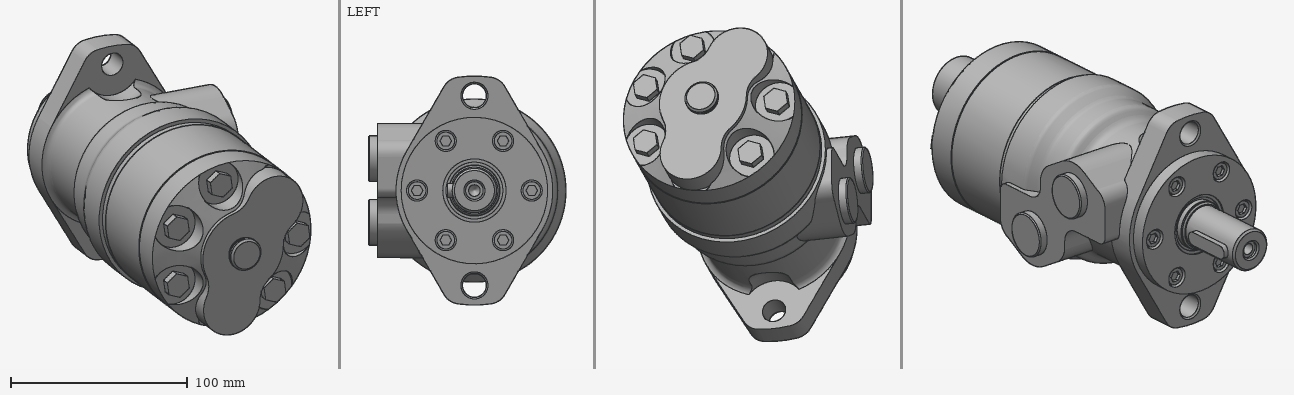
import cadquery as cq
import math


COLLAR_X = 43.0
BOSS_X = 46.3
FLANGE_X = 54.4
FLANGE_BACK_X = 71.0
NECK_X = 75.8
SHOULDER_X = 106.8
RISE_X = 129.5
STEP_X = 159.7
GEAR_X = 163.8
JOINT_X = 207.0
COVER_X = 224.3
CONE_END_X = 236.2
REAR_X = 239.0
END_X = 243.8

BOSS_R = 41.5
FLANGE_R = 44.4
NECK_R = 40.7
GEAR_R = 50.0
PLATE_R = 49.7
HUB_R = 25.4

FIRST_ANGLE = math.radians(45)
FIRST_RUNS = (5.9, 2.2, 4.5)
SECOND_ANGLE = math.radians(30)
SECOND_RUNS = (3.7, 5.0, 3.0)

JOINT_WIDTH = 0.7
JOINT_DEPTH = 0.37

FLANGE_TIP_R = 64.9
FLANGE_CORNER_R = 11.0
FLANGE_SIDE_ANGLE = math.radians(30)
MOUNT_HOLE_Z = 53.6
MOUNT_HOLE_D = 13.5
MOUNT_CHAMFER = 1.0
SCOOP_R = 18.8
SCOOP_X = 80.5

HEX_SIDES = 6

FRONT_SCREWS = 6
FRONT_CIRCLE_R = 32.5
RECESS_D = 12.0
RECESS_DEPTH = 3.7
SCREW_HEAD_D = 10.0
SCREW_HEAD_H = 2.5
SOCKET_SIZE = 6.5
SOCKET_DEPTH = 2.0

SEAL_RECESS_D = 35.8
SEAL_LIP_D = 32.2
SEAL_STEP = 1.0

PORT_X = 92.2
PORT_Z = 18.0
BLOCK_MID_X = 110.2
BLOCK_Y = 54.9
BLOCK_ROOT_Y = 12.2
LOBE_R = 20.0
LOBE_SLOPE = math.radians(30)
LOBE_SHOULDER = 21.7
LOBE_HALF = 28.8
LOBE_SIDE_Z = 18.8
WAIST_Z = 4.0
WAIST_FILLET = 9.5
WAIST_CORNER = 4.9

PORT_PLUG_D = 26.0
PORT_PLUG_END_Y = 60.0
PLUG_CHAMFER = 0.7

REAR_SCREWS = 7
REAR_CIRCLE_R = 40.0
HEX_FLATS = 13.0
HEX_HEIGHT = 4.9
HEX_TURN = 38
POCKET_R = 13.0
ARM_R = 17.8
ARM_REACH = 32.0
ARM_FILLET = 14.6
ARM_SCREWS = (1, 5)

DRAIN_D = 19.0
DRAIN_NECK_D = 18.0
DRAIN_NECK_H = 1.5
DRAIN_CHAMFER = 1.2

SHAFT_D = 25.0
SHAFT_COLLAR_D = 28.5
SEAT_X = 44.9
SHAFT_SEAT_D = 29.0
SHAFT_CHAMFER = 1.2
COLLAR_CHAMFER = 1.0
CENTRE_BORE_D = 10.0
CENTRE_CHAMFER = 1.0
CENTRE_BORE_DEPTH = 2.5
CENTRE_HOLE_D = 6.5
CENTRE_HOLE_DEPTH = 19.5
KEY_X = 5.0
KEY_LENGTH = 32.0
KEY_WIDTH = 8.0
KEY_BOTTOM_Y = 8.5
KEY_TOP_Y = 15.4


def section(x):
    """Workplane across the shaft axis: local axes Y and Z, facing +X."""
    return cq.Workplane("YZ", origin=(x, 0, 0))


def disc(x_start, x_end, diameter, y=0, z=0):
    return section(x_start).center(y, z).circle(diameter / 2).extrude(x_end - x_start)


def ring_of_places(count, radius):
    """Y, Z places spaced evenly on a circle about the axis, from +Y."""
    angles = [math.radians(360 * i / count) for i in range(count)]
    return [(radius * math.cos(a), radius * math.sin(a)) for a in angles]


def rise_points(x, radius, angle, runs):
    """Four points of an arc, cone, arc rise whose cone has the given slope angle."""
    slopes = (math.tan(angle / 2), math.tan(angle), math.tan(angle / 2))
    points = [(x, radius)]
    for run, slope in zip(runs, slopes):
        x += run
        radius += run * slope
        points.append((x, radius))
    return points


def turned_body():
    """Revolved housing, from the pilot boss to the cone of the rear cover."""
    first = rise_points(SHOULDER_X, NECK_R, FIRST_ANGLE, FIRST_RUNS)
    waist_r = first[-1][1]
    second = rise_points(RISE_X, waist_r, SECOND_ANGLE, SECOND_RUNS)
    top_r = second[-1][1]
    profile = (
        cq.Workplane("XY")
        .moveTo(BOSS_X, 0)
        .lineTo(REAR_X, 0)
        .lineTo(REAR_X, HUB_R)
        .lineTo(CONE_END_X, HUB_R)
        .lineTo(COVER_X, GEAR_R)
        .lineTo(JOINT_X + JOINT_WIDTH / 2, GEAR_R)
        .lineTo(JOINT_X, GEAR_R - JOINT_DEPTH)
        .lineTo(JOINT_X - JOINT_WIDTH / 2, GEAR_R)
        .lineTo(GEAR_X, GEAR_R)
        .lineTo(GEAR_X, PLATE_R)
        .lineTo(STEP_X, PLATE_R)
        .lineTo(STEP_X, top_r)
        .lineTo(*second[3])
        .tangentArcPoint(second[2], relative=False)
        .lineTo(*second[1])
        .tangentArcPoint(second[0], relative=False)
        .lineTo(*first[3])
        .tangentArcPoint(first[2], relative=False)
        .lineTo(*first[1])
        .tangentArcPoint(first[0], relative=False)
        .lineTo(NECK_X, NECK_R)
        .tangentArcPoint((FLANGE_BACK_X, FLANGE_R), relative=False)
        .lineTo(FLANGE_X, FLANGE_R)
        .lineTo(FLANGE_X, BOSS_R)
        .lineTo(BOSS_X, BOSS_R)
        .close()
    )
    return profile.revolve(360, (0, 0, 0), (1, 0, 0))


def flange():
    """Two-eared flange: sides tangent to the central circle, ears rounded about the axis."""
    cos_side = math.cos(FLANGE_SIDE_ANGLE)
    sin_side = math.sin(FLANGE_SIDE_ANGLE)
    side_y = FLANGE_R * cos_side
    side_z = FLANGE_R * sin_side
    side_length = math.sqrt(FLANGE_TIP_R**2 - FLANGE_R**2)
    ear_y = side_y - side_length * sin_side
    ear_z = side_z + side_length * cos_side
    ear_corners = cq.selectors.BoxSelector(
        (FLANGE_X, -FLANGE_R, side_z), (FLANGE_BACK_X, FLANGE_R, FLANGE_TIP_R)
    ) + cq.selectors.BoxSelector(
        (FLANGE_X, -FLANGE_R, -side_z), (FLANGE_BACK_X, FLANGE_R, -FLANGE_TIP_R)
    )
    return (
        section(FLANGE_X)
        .moveTo(side_y, -side_z)
        .threePointArc((FLANGE_R, 0), (side_y, side_z))
        .lineTo(ear_y, ear_z)
        .threePointArc((0, FLANGE_TIP_R), (-ear_y, ear_z))
        .lineTo(-side_y, side_z)
        .threePointArc((-FLANGE_R, 0), (-side_y, -side_z))
        .lineTo(-ear_y, -ear_z)
        .threePointArc((0, -FLANGE_TIP_R), (ear_y, -ear_z))
        .close()
        .extrude(FLANGE_BACK_X - FLANGE_X)
        .edges("|X")
        .edges(ear_corners)
        .fillet(FLANGE_CORNER_R)
    )


def scoop(z):
    """Ball-ended clearance cut in the neck behind a mounting hole."""
    channel = disc(FLANGE_BACK_X, SCOOP_X, 2 * SCOOP_R, z=z)
    ball = cq.Workplane("XY").sphere(SCOOP_R).translate((SCOOP_X, 0, z))
    return channel.union(ball.cut(disc(0, FLANGE_BACK_X, 4 * SCOOP_R, z=z)))


def countersink(x, z, hole_r, width):
    """45 degree cone that widens the mouth of a hole by the given width."""
    cone = cq.Solid.makeCone(hole_r + width, hole_r, width, cq.Vector(x, 0, z), cq.Vector(1, 0, 0))
    return cq.Workplane(cone)


def mount_hole(z):
    hole = disc(FLANGE_X, FLANGE_BACK_X, MOUNT_HOLE_D, z=z)
    return hole.union(countersink(FLANGE_X, z, MOUNT_HOLE_D / 2, MOUNT_CHAMFER))


def port_block():
    """Block on the +Y side, with one lobe around each port."""
    arc_half = LOBE_R * math.sin(LOBE_SLOPE)
    arc_end_z = PORT_Z + LOBE_R * math.cos(LOBE_SLOPE)
    shoulder_z = arc_end_z - (LOBE_SHOULDER - arc_half) * math.tan(LOBE_SLOPE)
    lobe_x = PORT_X - BLOCK_MID_X
    left = lobe_x - LOBE_HALF
    right = lobe_x + LOBE_HALF
    outline = cq.Workplane("XZ", origin=(BLOCK_MID_X, BLOCK_ROOT_Y, 0))
    outline = outline.moveTo(left, WAIST_CORNER - WAIST_Z)
    for turn in (1, -1):
        outline = (
            outline
            .lineTo(turn * left, turn * LOBE_SIDE_Z)
            .tangentArcPoint((turn * (lobe_x - LOBE_SHOULDER), turn * shoulder_z), relative=False)
            .lineTo(turn * (lobe_x - arc_half), turn * arc_end_z)
            .threePointArc(
                (turn * lobe_x, turn * (PORT_Z + LOBE_R)),
                (turn * (lobe_x + arc_half), turn * arc_end_z),
            )
            .lineTo(turn * (lobe_x + LOBE_SHOULDER), turn * shoulder_z)
            .tangentArcPoint((turn * right, turn * LOBE_SIDE_Z), relative=False)
            .lineTo(turn * right, turn * (WAIST_Z + WAIST_FILLET))
            .tangentArcPoint((turn * (right + WAIST_FILLET), turn * WAIST_Z), relative=False)
            .lineTo(-turn * (left + WAIST_CORNER), turn * WAIST_Z)
            .tangentArcPoint((-turn * left, turn * (WAIST_Z - WAIST_CORNER)), relative=False)
        )
    return outline.close().extrude(BLOCK_ROOT_Y - BLOCK_Y)


def front_screw_recess(y, z):
    """Recess around a socket head: the head is left standing in it."""
    recess = disc(BOSS_X, BOSS_X + RECESS_DEPTH, RECESS_D, y, z)
    head_x = BOSS_X + RECESS_DEPTH - SCREW_HEAD_H
    head = disc(head_x, BOSS_X + RECESS_DEPTH, SCREW_HEAD_D, y, z)
    socket = section(head_x).center(y, z).polygon(HEX_SIDES, SOCKET_SIZE).extrude(SOCKET_DEPTH)
    return recess.cut(head).union(socket)


def shaft_opening():
    lip_x = BOSS_X + SEAL_STEP
    recess = disc(BOSS_X, lip_x, SEAL_RECESS_D)
    lip = disc(lip_x, lip_x + SEAL_STEP, SEAL_LIP_D)
    bore = disc(BOSS_X, FLANGE_BACK_X, SHAFT_SEAT_D)
    return recess.union(lip).union(bore)


def hex_head(y, z):
    corners = HEX_FLATS / math.cos(math.pi / HEX_SIDES)
    head = section(COVER_X).polygon(HEX_SIDES, corners).extrude(HEX_HEIGHT)
    return head.rotate((0, 0, 0), (1, 0, 0), HEX_TURN).translate((0, y, z))


def cover_arm(direction):
    """Round-ended arm, filleted into the hub on both sides, at an angle in degrees from +Y."""
    hub_side = HUB_R + ARM_FILLET
    end_side = ARM_R + ARM_FILLET
    angle = math.acos((hub_side**2 + ARM_REACH**2 - end_side**2) / (2 * hub_side * ARM_REACH))
    fillet_y = hub_side * math.cos(angle)
    fillet_z = hub_side * math.sin(angle)
    hub_y = HUB_R * math.cos(angle)
    hub_z = HUB_R * math.sin(angle)
    end_y = ARM_REACH + (fillet_y - ARM_REACH) * ARM_R / end_side
    end_z = fillet_z * ARM_R / end_side
    middle = math.atan2((hub_z + end_z) / 2 - fillet_z, (hub_y + end_y) / 2 - fillet_y)
    middle_y = fillet_y + ARM_FILLET * math.cos(middle)
    middle_z = fillet_z + ARM_FILLET * math.sin(middle)
    return (
        section(COVER_X)
        .moveTo(hub_y, -hub_z)
        .threePointArc((middle_y, -middle_z), (end_y, -end_z))
        .threePointArc((ARM_REACH + ARM_R, 0), (end_y, end_z))
        .threePointArc((middle_y, middle_z), (hub_y, hub_z))
        .close()
        .extrude(REAR_X - COVER_X)
        .rotate((0, 0, 0), (1, 0, 0), direction)
    )


def make_housing():
    housing = turned_body().union(flange())
    for z in (MOUNT_HOLE_Z, -MOUNT_HOLE_Z):
        housing = housing.cut(scoop(z)).cut(mount_hole(z))
    housing = housing.union(port_block())
    for y, z in ring_of_places(FRONT_SCREWS, FRONT_CIRCLE_R):
        housing = housing.cut(front_screw_recess(y, z))
    rear_places = ring_of_places(REAR_SCREWS, REAR_CIRCLE_R)
    for y, z in rear_places:
        housing = housing.cut(disc(COVER_X, REAR_X, 2 * POCKET_R, y, z))
    for y, z in rear_places:
        housing = housing.union(hex_head(y, z))
    for screw in ARM_SCREWS:
        housing = housing.union(cover_arm(360 * screw / REAR_SCREWS))
    return housing.cut(shaft_opening())


def make_key():
    """Parallel key with round ends, let into the +Y side of the shaft."""
    return (
        cq.Workplane("XZ", origin=(KEY_X + KEY_LENGTH / 2, KEY_BOTTOM_Y, 0))
        .slot2D(KEY_LENGTH, KEY_WIDTH)
        .extrude(KEY_BOTTOM_Y - KEY_TOP_Y)
    )


def make_shaft(key):
    journal = disc(0, COLLAR_X, SHAFT_D).faces("<X").chamfer(SHAFT_CHAMFER)
    collar = disc(COLLAR_X, SEAT_X, SHAFT_COLLAR_D).faces("<X").chamfer(COLLAR_CHAMFER)
    seat = disc(SEAT_X, FLANGE_BACK_X, SHAFT_SEAT_D)
    centre_bore = disc(0, CENTRE_BORE_DEPTH, CENTRE_BORE_D).union(
        countersink(0, 0, CENTRE_BORE_D / 2, CENTRE_CHAMFER)
    )
    centre_hole = disc(0, CENTRE_HOLE_DEPTH, CENTRE_HOLE_D)
    drill_tip = cq.Solid.makeCone(
        CENTRE_HOLE_D / 2, 0, CENTRE_HOLE_D / 2,
        cq.Vector(CENTRE_HOLE_DEPTH, 0, 0), cq.Vector(1, 0, 0),
    )
    shaft = journal.union(collar).union(seat).cut(centre_bore).cut(centre_hole)
    return shaft.cut(cq.Workplane(drill_tip)).cut(key)


def make_port_plug(x, z):
    return (
        cq.Workplane("XZ", origin=(x, BLOCK_Y, z))
        .circle(PORT_PLUG_D / 2)
        .extrude(BLOCK_Y - PORT_PLUG_END_Y)
        .faces(">Y")
        .chamfer(PLUG_CHAMFER)
    )


def make_drain_plug():
    head_x = REAR_X + DRAIN_NECK_H
    neck = disc(REAR_X, head_x, DRAIN_NECK_D)
    head = disc(head_x, END_X, DRAIN_D).faces(">X").chamfer(DRAIN_CHAMFER)
    return neck.union(head)


housing = make_housing()
key = make_key()
shaft = make_shaft(key)
port_places = [(PORT_X, PORT_Z), (2 * BLOCK_MID_X - PORT_X, -PORT_Z)]
port_plugs = [make_port_plug(x, z) for x, z in port_places]
drain_plug = make_drain_plug()

result = cq.Compound.makeCompound(
    [housing.val(), shaft.val(), key.val(), *[plug.val() for plug in port_plugs], drain_plug.val()]
)